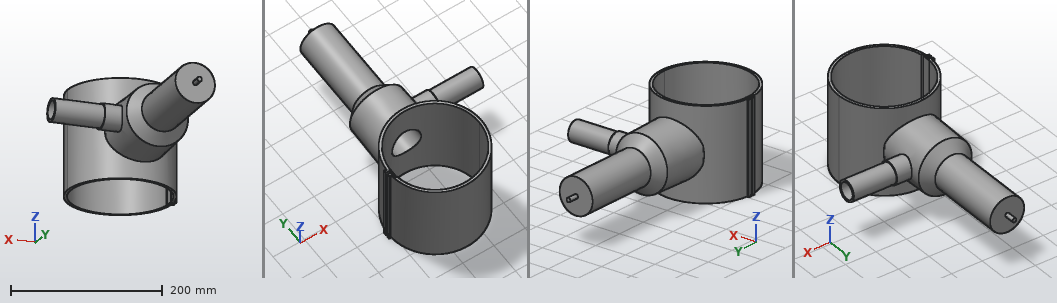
import cadquery as cq

sleeve_radius = 74.5
sleeve_bore_radius = 70.0
sleeve_height = 140.0

tab_tip_x = -77.7
split_half_gap = 1.65
tab_half_span = 6.0
tab_neck_half_span = 5.0
tab_lip_length = 1.8
tongue_outer_x = -71.5
tongue_inner_x = -69.7
tongue_end_y = -8.5
tongue_clearance = 0.5
relief_end_y = -11.3

main_diameter = 56.0
main_bore_diameter = 46.5
main_end_y = 272.8
main_end_wall = (main_diameter - main_bore_diameter) / 2
housing_diameter = 87.0
housing_base_diameter = 91.0
housing_base_y = 60.3
shoulder_start_y = 135.0
shoulder_end_y = shoulder_start_y + (housing_diameter - main_diameter) / 2
pin_diameter = 6.5
pin_end_y = 288.8

branch_y = 103.0
branch_diameter = 32.0
branch_bore_diameter = 25.5
branch_end_x = 137.3
collar_diameter = 35.2
collar_end_x = 68.0


def block(x_start, x_end, y_start, y_end):
    """Full-height block between two X and two Y positions."""
    width = x_end - x_start
    depth = y_end - y_start
    corner = (x_start, y_start, -sleeve_height / 2)
    return cq.Workplane("XY").box(width, depth, sleeve_height, centered=False).translate(corner)


def upright_cylinder(radius):
    """Full-height cylinder on the sleeve axis."""
    return cq.Workplane("XY").circle(radius).extrude(sleeve_height / 2, both=True)


def cylinder_along_y(diameter, end_y):
    """Cylinder from the sleeve axis towards +Y."""
    return cq.Workplane("XZ").circle(diameter / 2).extrude(-end_y)


def cylinder_along_x(diameter, end_x):
    """Cylinder on the branch axis, from the main pipe axis towards +X."""
    return cq.Workplane("YZ").center(branch_y, 0).circle(diameter / 2).extrude(end_x)


def make_pipe_bodies():
    """Housing, main pipe and pin revolved about Y, joined to the branch and its collar."""
    pipes = (
        cq.Workplane("XY")
        .moveTo(0, housing_base_y)
        .lineTo(housing_base_diameter / 2, housing_base_y)
        .lineTo(housing_diameter / 2, shoulder_start_y)
        .lineTo(main_diameter / 2, shoulder_end_y)
        .lineTo(main_diameter / 2, main_end_y)
        .lineTo(pin_diameter / 2, main_end_y)
        .lineTo(pin_diameter / 2, pin_end_y)
        .lineTo(0, pin_end_y)
        .close()
        .revolve(360, (0, 0), (0, 1))
    )
    pipes = pipes.union(cylinder_along_x(collar_diameter, collar_end_x))
    return pipes.union(cylinder_along_x(branch_diameter, branch_end_x))


def cut_split(body):
    """Open the sleeve, leaving two lipped tabs and an inner tongue that overlaps the gap."""
    lip_end_x = tab_tip_x + tab_lip_length
    body = body.union(block(tab_tip_x, tongue_outer_x, -tab_neck_half_span, tab_neck_half_span))
    body = body.union(block(tab_tip_x, lip_end_x, -tab_half_span, tab_half_span))
    body = body.cut(block(tab_tip_x, tongue_outer_x, -split_half_gap, split_half_gap))
    relief_x = tongue_outer_x - tongue_clearance
    body = body.cut(block(relief_x, -sleeve_bore_radius / 2, relief_end_y, split_half_gap))
    return body.union(block(tongue_outer_x, tongue_inner_x, tongue_end_y, tab_neck_half_span))


body = upright_cylinder(sleeve_radius).union(make_pipe_bodies())
body = body.cut(upright_cylinder(sleeve_bore_radius))
body = body.cut(cylinder_along_y(main_bore_diameter, main_end_y - main_end_wall))
body = body.cut(cylinder_along_x(branch_bore_diameter, branch_end_x))
result = cut_split(body)